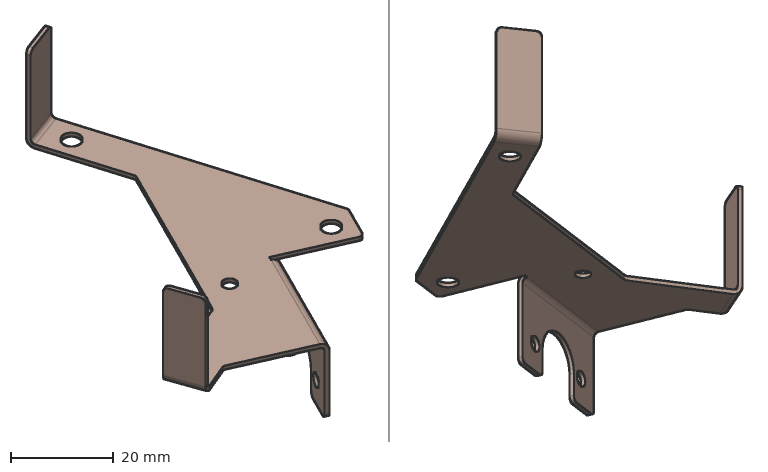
import cadquery as cq
import math

thickness = 1.0
inner_bend = 1.0
outer_bend = inner_bend + thickness
corner_radius = 1.2

length = 91.1
depth = 51.9
arm_width = 9.1
arm_angle = math.radians(43.8)
tab_right = 56.1
front_edge = 16.5
plate_corner_radius = 1.0

upright_height = 24.01

hanger_left = 57.0
hanger_right = 84.9
hanger_back = 34.45
hanger_drop = 18.0
hanger_width = hanger_right - hanger_left
hanger_center = (hanger_left + hanger_right) / 2
hanger_bend_line = hanger_back - outer_bend

large_hole = 4.3
small_hole = 3.2
large_hole_places = [(8.7, 8.6), (51.3, 46.9)]
small_hole_place = (61.2, 22.3)
hanger_hole_spacing = 17.95
hanger_hole_depth = 12.0
notch_radius = 6.1

cos_arm = math.cos(arm_angle)
sin_arm = math.sin(arm_angle)
slope = math.tan(arm_angle)
arm_outer_y = arm_width * cos_arm
arm_inner_x = arm_width * sin_arm
bend_dx = outer_bend * cos_arm
bend_dy = outer_bend * sin_arm


def make_plate():
    """Flat plate, ending at the bend lines of the three flanges."""
    rear_left = (depth - arm_outer_y) / slope
    front_left = arm_inner_x + front_edge / slope
    right_elbow = arm_outer_y + (length - hanger_right) * slope
    outline = [
        (bend_dx, arm_outer_y + bend_dy),
        (rear_left, depth),
        (tab_right, depth),
        (tab_right, hanger_bend_line),
        (hanger_right, hanger_bend_line),
        (hanger_right, right_elbow),
        (length - bend_dx, arm_outer_y + bend_dy),
        (length - arm_inner_x - bend_dx, bend_dy),
        (length - front_left, front_edge),
        (front_left, front_edge),
        (arm_inner_x + bend_dx, bend_dy),
    ]
    plate = cq.Workplane("XY").polyline(outline).close().extrude(thickness)
    rounded_corners = [
        (rear_left, depth),
        (tab_right, depth),
        (hanger_right, right_elbow),
        (length - front_left, front_edge),
        (front_left, front_edge),
    ]
    for x, y in rounded_corners:
        corner = cq.selectors.NearestToPointSelector((x, y, thickness / 2))
        plate = plate.edges("|Z").edges(corner).fillet(plate_corner_radius)
    large = cq.Workplane("XY").pushPoints(large_hole_places).circle(large_hole / 2)
    small = cq.Workplane("XY").center(*small_hole_place).circle(small_hole / 2)
    return plate.cut(large.extrude(thickness)).cut(small.extrude(thickness))


def make_flange(origin, outward, side, width, height):
    """Bend and flange; origin is mid-width on the bend line, on the outer skin of the sheet."""
    diagonal = math.sqrt(0.5)
    face = outer_bend - thickness
    flange = (
        cq.Workplane("XY")
        .moveTo(0, 0)
        .threePointArc((outer_bend * diagonal, outer_bend * (1 - diagonal)), (outer_bend, outer_bend))
        .lineTo(outer_bend, height)
        .lineTo(face, height)
        .lineTo(face, outer_bend)
        .threePointArc((inner_bend * diagonal, outer_bend - inner_bend * diagonal), (0, thickness))
        .close()
        .extrude(width / 2, both=True)
        .edges("|X")
        .edges(">Y")
        .fillet(corner_radius)
    )
    return flange.val().moved(cq.Location(cq.Plane(origin, outward, side)))


def make_upright(sign):
    """Upright flange on the left (-1) or right (+1) arm."""
    middle_x = arm_inner_x / 2 + bend_dx
    x = middle_x if sign < 0 else length - middle_x
    origin = (x, arm_outer_y / 2 + bend_dy, 0)
    outward = (sign * cos_arm, -sin_arm, 0)
    side = (-sin_arm, -sign * cos_arm, 0)
    return make_flange(origin, outward, side, arm_width, upright_height)


def make_hanger():
    """Hanging flange with an arched notch between two holes."""
    origin = (hanger_center, hanger_bend_line, thickness)
    hanger = cq.Workplane(
        make_flange(origin, (0, 1, 0), (-1, 0, 0), hanger_width, hanger_drop + thickness)
    )
    back = cq.Workplane("XZ", origin=(hanger_center, hanger_back, -hanger_hole_depth))
    leg = hanger_drop - hanger_hole_depth
    notch = back.circle(notch_radius).extrude(thickness)
    notch = notch.union(back.center(0, -leg / 2).rect(2 * notch_radius, leg).extrude(thickness))
    half_spacing = hanger_hole_spacing / 2
    holes = back.pushPoints([(-half_spacing, 0), (half_spacing, 0)]).circle(small_hole / 2)
    hanger = hanger.cut(notch).cut(holes.extrude(thickness))
    for x in (hanger_center - notch_radius, hanger_center + notch_radius):
        corner = cq.selectors.NearestToPointSelector((x, hanger_back - thickness / 2, -hanger_drop))
        hanger = hanger.edges("|Y").edges(corner).fillet(corner_radius)
    return hanger


result = make_plate().union(make_hanger())
for arm_sign in (-1, 1):
    result = result.union(cq.Workplane(make_upright(arm_sign)))